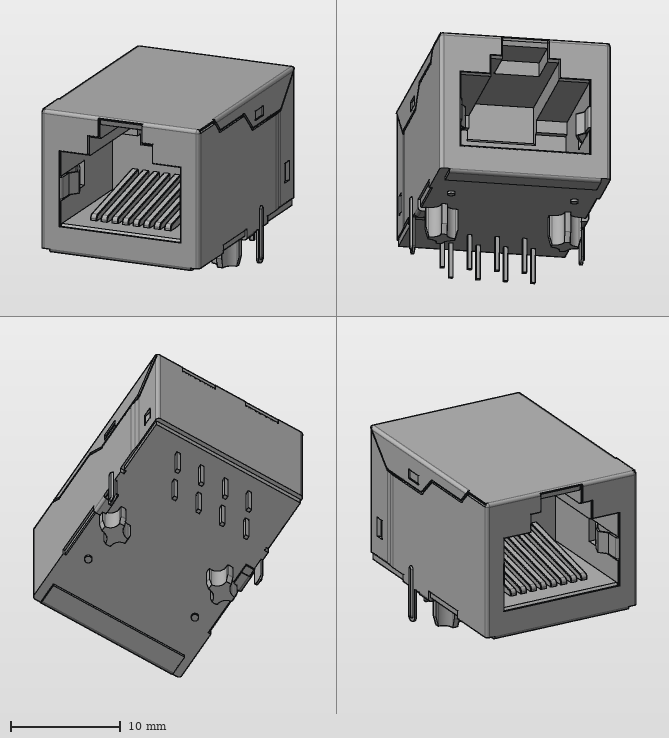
import cadquery as cq


LENGTH = 21.6
WIDTH = 15.85
HEIGHT = 13.25
SHEET = 0.2
BEND = 0.32
HALF_WIDTH = WIDTH / 2
FRONT = -LENGTH / 2
REAR = LENGTH / 2
INNER_FRONT = FRONT + SHEET

GAP_REAR = -7.13
GAP_BOTTOM = HEIGHT - BEND
TOP_PLATE = 0.15
GAP_TOP = HEIGHT - TOP_PLATE
TOP_PLATE_WIDTH = 15.68

SEAM = 0.24
SEAM_LOW = 9.98
SEAM_HIGH = 11.88
SEAM_STEP_LOW = 1.17
SEAM_STEP_HIGH = -0.73
SEAM_HIGH_END = -6.13
SEAM_SPLIT = 4.85
SEAM_SHALLOW = 0.15

INSET = 0.09
JOG_FRONT = 6.35
JOG_REAR = 7.55
FLAP_BOTTOM = 0.7

LATCH_WINDOW_Y = (1.75, 3.55)
LATCH_WINDOW_Z = (10.6, 11.51)
SIDE_EDGE_Y = (-5.42, -0.13)
SIDE_EDGE_TOP = 0.78
EDGE_BEVEL = 0.1
EDGE_NOTCH_FRONT = 4.51
DIMPLE_Y = (8.55, 9.2, 9.61)
DIMPLE_STEP_DEPTH = 0.2
DIMPLE_DEPTH = 0.35
DIMPLE_Z = (2.68, 4.54)
REAR_NOTCH_X = (1.62, 5.15)
REAR_NOTCH_BOTTOM = 12.31
REAR_NOTCH_DEPTH = 0.1
REAR_SETBACK = 0.39

CAVITY_FLOOR = 2.48
CAVITY_STEPS = ((5.98, 9.35), (3.15, 11.1), (2.1, 12.45))
SHEET_MARGIN = 0.1
SHEET_FLOOR_MARGIN = 0.22
SHEET_STEP_TOPS = (9.53, 11.35, 13.11)
LEAD_IN = 0.22
BACK_WALL = 0.86
SHOULDER_BOTTOM = 8.16
SHOULDER_WALL = 0.22
LATCH_WALL = 1.73
LATCH_LEDGE = 7.13
LATCH_LEDGE_RISE = 0.48
CHANNEL_WALL = -6.48

CONTACT_COUNT = 8
CONTACT_PITCH = 1.05
CONTACT_WIDTH = 0.65
CONTACT_HEIGHT = 0.55
CONTACT_BEVEL = 0.06
CONTACT_NOSE_ROUND = 0.39
CONTACT_FRONT = -8.42
CONTACT_NOSE_TOP = 2.98
CONTACT_REAR_TOP = 4.8

SPRING_BOTTOM = 4.9
SPRING_TOP = 6.98
SPRING_WINDOW_DEPTH = 0.78
SPRING_WINDOW_REAR = -5.34
SPRING_WINDOW_BOTTOM = 4.69
SPRING_WINDOW_TOP = 7.06

PIN_COUNT = 8
PIN_PITCH = 1.27
PIN_SIZE = 0.37
PIN_LENGTH = 3.28
PIN_ROWS = (6.29, 8.81)
LEG_Y = 3.0
LEG_WIDTH = 1.17
LEG_LENGTH = 3.37
RIB_WIDTH = 0.6
RIB_TOP = 2.14
RIB_BOTTOM = -3.05
RIB_HEIGHT = 0.17
RIB_TAPER = 40
PEG_X = 5.72
PEG_RADIUS = 1.51
PEG_TIP_RADIUS = 1.25
PEG_LENGTH = 2.87
PEG_TAPER_START = 1.92
PEG_ARM = 0.55
TAB_DROP = 0.32
FRONT_TAB_WIDTH = 14.08
FRONT_TAB_LENGTH = 2.25
TAB_ROUND = 0.3
SIDE_TAB_Y = (-0.13, 1.62)
SIDE_TAB_LENGTH = 1.08
STANDOFF_DROP = 0.24
STANDOFF_RADIUS = 0.35
STANDOFF_Y = -4.65
REAR_STANDOFF_END = 2.42
OVERLAP = 0.22


def block(x0, x1, y0, y1, z0, z1):
    """Box between two opposite corners."""
    return cq.Workplane("XY").box(x1 - x0, y1 - y0, z1 - z0, centered=False).translate((x0, y0, z0))


def both_sides(shape):
    """The +X shape together with its mirror image."""
    return shape.union(shape.mirror("YZ"))


def side_prism(points, x0, x1):
    """Outline of (y, z) points extruded along X."""
    return cq.Workplane("YZ").polyline(points).close().extrude(x1 - x0).translate((x0, 0, 0))


def housing():
    body = block(-HALF_WIDTH, HALF_WIDTH, FRONT, REAR, 0, HEIGHT)
    body = body.edges("|Z or >Z").fillet(BEND)
    half_plate = TOP_PLATE_WIDTH / 2
    gap_front = FRONT + BEND
    plate = block(-half_plate, half_plate, gap_front, GAP_REAR, GAP_TOP, HEIGHT)
    gap = block(-HALF_WIDTH, HALF_WIDTH, gap_front, GAP_REAR, GAP_BOTTOM, GAP_TOP)
    return body.union(plate).cut(gap)


def side_seam():
    """Groove along the edge of the top flap, following its stepped outline."""
    top = HEIGHT - BEND
    seam_path = [
        (REAR - BEND, top), (JOG_REAR, SEAM_LOW), (SEAM_STEP_LOW, SEAM_LOW),
        (SEAM_STEP_HIGH, SEAM_HIGH), (SEAM_HIGH_END, SEAM_HIGH), (GAP_REAR, top)]
    path = cq.Workplane("YZ").polyline(seam_path).offset2D(SEAM / 2)
    groove = path.extrude(SHEET).translate((HALF_WIDTH - SHEET, 0, 0))
    ridge = block(0, HALF_WIDTH - SEAM_SHALLOW, SEAM_SPLIT, REAR, 0, HEIGHT)
    return both_sides(groove.cut(ridge))


def rear_flap_inset():
    """Sets the rear flap in, with a smooth jog down from the main side wall."""
    outer = HALF_WIDTH
    inner = HALF_WIDTH - INSET
    flap_front = [(JOG_REAR, FLAP_BOTTOM), (JOG_REAR, SEAM_LOW)]
    flap_rear = [(REAR, SEAM_LOW + REAR - JOG_REAR), (REAR, FLAP_BOTTOM)]
    kept = block(-inner, inner, FRONT, REAR, 0, HEIGHT).edges("|Z").fillet(BEND)
    flap = side_prism(flap_front + flap_rear, inner - BEND, outer).cut(kept)
    jog_middle = (outer - INSET / 2, (JOG_FRONT + JOG_REAR) / 2)
    jog_radius = ((JOG_REAR - JOG_FRONT) ** 2 + INSET ** 2) / (4 * INSET)
    jog = (
        cq.Workplane("XY").moveTo(outer, JOG_FRONT)
        .radiusArc(jog_middle, -jog_radius).radiusArc((inner, JOG_REAR), jog_radius)
        .lineTo(outer, JOG_REAR).close()
        .extrude(SEAM_LOW - FLAP_BOTTOM).translate((0, 0, FLAP_BOTTOM)))
    return both_sides(flap.union(jog))


def side_recesses():
    """Shallow openings in the shield along the side walls and at the rear."""
    outer = HALF_WIDTH
    floor = outer - SHEET
    cuts = block(outer - SEAM_SHALLOW, outer, *LATCH_WINDOW_Y, *LATCH_WINDOW_Z)

    edge_start, edge_end = SIDE_EDGE_Y
    edge_outline = [
        (floor - EDGE_BEVEL, 0), (floor, EDGE_BEVEL), (floor, SIDE_EDGE_TOP),
        (outer, SIDE_EDGE_TOP), (outer, 0)]
    side_edge = cq.Workplane("XZ").polyline(edge_outline).close().extrude(edge_end - edge_start)
    cuts = cuts.union(side_edge.translate((0, edge_end, 0)))

    cuts = cuts.union(block(floor, outer, SEAM_SPLIT, REAR, 0, FLAP_BOTTOM))
    cuts = cuts.union(block(floor - SHEET, outer, EDGE_NOTCH_FRONT, SEAM_SPLIT, 0, FLAP_BOTTOM))

    step_y, deep_y, rear_y = DIMPLE_Y
    bottom, top = DIMPLE_Z
    dimple_outline = [
        (outer, rear_y), (outer - DIMPLE_DEPTH, deep_y), (outer - DIMPLE_STEP_DEPTH, step_y), (outer, step_y)]
    dimple = cq.Workplane("XY").polyline(dimple_outline).close().extrude(top - bottom)
    cuts = cuts.union(dimple.translate((0, 0, bottom)))

    cuts = cuts.union(block(*REAR_NOTCH_X, REAR - REAR_NOTCH_DEPTH, REAR, REAR_NOTCH_BOTTOM, HEIGHT))
    return both_sides(cuts).union(block(-outer, outer, REAR - REAR_SETBACK, REAR, 0, FLAP_BOTTOM))


def plug_opening():
    """Stepped opening in the shield, then the plug cavity with lead-in slopes."""
    (main_half, main_top), (latch_half, latch_top), (channel_half, channel_top) = CAVITY_STEPS
    cavity = block(-main_half, main_half, INNER_FRONT, BACK_WALL, CAVITY_FLOOR, SHOULDER_BOTTOM)
    cavity = cavity.union(
        block(-main_half, main_half, INNER_FRONT, SHOULDER_WALL, SHOULDER_BOTTOM, main_top))
    ledge_top = LATCH_LEDGE + LATCH_LEDGE_RISE
    cavity = cavity.union(side_prism(
        [(INNER_FRONT, LATCH_LEDGE), (BACK_WALL, LATCH_LEDGE), (LATCH_WALL, ledge_top),
         (LATCH_WALL, latch_top), (INNER_FRONT, latch_top)], -latch_half, latch_half))
    cavity = cavity.union(
        block(-channel_half, channel_half, INNER_FRONT, CHANNEL_WALL, latch_top, channel_top))

    bottom = CAVITY_FLOOR - SHEET_FLOOR_MARGIN
    for (half, top), sheet_top in zip(CAVITY_STEPS, SHEET_STEP_TOPS):
        sheet_half = half + SHEET_MARGIN
        cavity = cavity.union(block(-sheet_half, sheet_half, FRONT, INNER_FRONT, bottom, sheet_top))
        ceiling_slope = side_prism(
            [(INNER_FRONT, top), (INNER_FRONT, sheet_top), (INNER_FRONT + LEAD_IN, top)], -half, half)
        cavity = cavity.union(ceiling_slope)
    floor_slope = side_prism(
        [(INNER_FRONT, CAVITY_FLOOR), (INNER_FRONT, bottom), (INNER_FRONT + LEAD_IN, CAVITY_FLOOR)],
        -main_half, main_half)
    spring_window = block(
        main_half, main_half + SPRING_WINDOW_DEPTH, INNER_FRONT, SPRING_WINDOW_REAR,
        SPRING_WINDOW_BOTTOM, SPRING_WINDOW_TOP)
    return cavity.union(floor_slope).union(both_sides(spring_window))


def contact():
    """One sloping contact wire, from the cavity floor up to the back wall."""
    rear = BACK_WALL + OVERLAP
    rear_bottom = CONTACT_REAR_TOP - CONTACT_HEIGHT
    root = CAVITY_FLOOR - OVERLAP
    wire = side_prism(
        [(CONTACT_FRONT, root), (CONTACT_FRONT, CONTACT_NOSE_TOP), (rear, CONTACT_REAR_TOP),
         (rear, rear_bottom), (CONTACT_FRONT + CONTACT_HEIGHT, root)],
        -CONTACT_WIDTH / 2, CONTACT_WIDTH / 2)
    top_middle = (0, (CONTACT_FRONT + rear) / 2, (CONTACT_NOSE_TOP + CONTACT_REAR_TOP) / 2)
    nose = cq.NearestToPointSelector((0, CONTACT_FRONT, CONTACT_NOSE_TOP))
    wire = wire.edges(nose).fillet(CONTACT_NOSE_ROUND)
    return wire.faces(cq.NearestToPointSelector(top_middle)).edges("not |X").chamfer(CONTACT_BEVEL)


def contacts():
    wire = contact()
    row = cq.Workplane("XY")
    for i in range(CONTACT_COUNT):
        row = row.add(wire.translate(((i - (CONTACT_COUNT - 1) / 2) * CONTACT_PITCH, 0, 0)))
    return row.combine()


def springs():
    """Grounding springs folded in from the front edge of the opening."""
    root_x = CAVITY_STEPS[0][0] + SHEET_MARGIN
    root_y = FRONT + SHEET / 3
    bend_middle = (5.95, -10.65)
    bend_end = (5.85, -10.45)
    ramp_x, ramp_y = 5.8, -9.22
    crest_x, crest_y = 5.15, -8.42
    tail_x, tail_y = 5.62, -7.2
    tip_x, tip_y = 6.35, -6.0
    spring = (
        cq.Workplane("XY").moveTo(root_x, root_y)
        .threePointArc(bend_middle, bend_end)
        .lineTo(ramp_x, ramp_y).lineTo(crest_x, crest_y)
        .threePointArc((tail_x, tail_y), (tip_x, tip_y))
        .lineTo(tip_x + SHEET, tip_y)
        .threePointArc((tail_x + SHEET, tail_y), (crest_x + SHEET, crest_y))
        .lineTo(ramp_x + SHEET, ramp_y).lineTo(root_x + SHEET, root_y).close()
        .extrude(SPRING_TOP - SPRING_BOTTOM).translate((0, 0, SPRING_BOTTOM)))
    return both_sides(spring)


def pins():
    """Solder pins, alternating between two rows."""
    half = PIN_SIZE / 2
    group = cq.Workplane("XY")
    for i in range(PIN_COUNT):
        x = (i - (PIN_COUNT - 1) / 2) * PIN_PITCH
        y = PIN_ROWS[i % 2]
        group = group.add(block(x - half, x + half, y - half, y + half, -PIN_LENGTH, OVERLAP))
    return group.combine()


def shield_legs():
    """Round-ended shield legs, each stiffened by an embossed rib."""
    round_center = LEG_WIDTH / 2 - LEG_LENGTH
    leg = block(
        HALF_WIDTH - SHEET, HALF_WIDTH, LEG_Y - LEG_WIDTH / 2, LEG_Y + LEG_WIDTH / 2, round_center, OVERLAP)
    tip = (
        cq.Workplane("YZ").center(LEG_Y, round_center).circle(LEG_WIDTH / 2)
        .extrude(SHEET).translate((HALF_WIDTH - SHEET, 0, 0)))
    rib = (
        cq.Workplane("YZ").center(LEG_Y, (RIB_TOP + RIB_BOTTOM) / 2)
        .slot2D(RIB_TOP - RIB_BOTTOM, RIB_WIDTH, 90)
        .extrude(RIB_HEIGHT, taper=RIB_TAPER).translate((HALF_WIDTH, 0, 0)))
    return both_sides(leg.union(tip).union(rib))


def board_pegs():
    """Tapered pegs with a cross section of four arms joined by concave quarter rounds."""
    envelope = (
        cq.Workplane("XZ")
        .polyline([(0, OVERLAP), (PEG_RADIUS, OVERLAP), (PEG_RADIUS, -PEG_TAPER_START),
                   (PEG_TIP_RADIUS, -PEG_LENGTH), (0, -PEG_LENGTH)]).close()
        .revolve(360, (0, 0, 0), (0, 1, 0)))
    flute_radius = PEG_TIP_RADIUS - PEG_ARM / 2
    flute_reach = PEG_TIP_RADIUS + PEG_RADIUS
    flute = (
        cq.Workplane("XY").moveTo(PEG_ARM / 2, PEG_TIP_RADIUS)
        .radiusArc((PEG_TIP_RADIUS, PEG_ARM / 2), -flute_radius)
        .lineTo(flute_reach, PEG_ARM / 2).lineTo(flute_reach, flute_reach)
        .lineTo(PEG_ARM / 2, flute_reach).close()
        .extrude(-PEG_LENGTH))
    for quarter in range(4):
        envelope = envelope.cut(flute.rotate((0, 0, 0), (0, 0, 1), 90 * quarter))
    return both_sides(envelope.translate((PEG_X, 0, 0)))


def underside_tabs():
    """Shield tabs bent under the housing, and the stand-offs of the insulator."""
    half_tab = FRONT_TAB_WIDTH / 2
    front_tab = block(-half_tab, half_tab, FRONT, FRONT + FRONT_TAB_LENGTH, -TAB_DROP, 0)
    front_tab = front_tab.edges("<Y and <Z").fillet(TAB_ROUND)
    side_tab = block(HALF_WIDTH - SIDE_TAB_LENGTH, HALF_WIDTH, *SIDE_TAB_Y, -TAB_DROP, 0)
    side_tab = side_tab.edges(">X and <Z").fillet(TAB_ROUND)
    rear_standoff = block(
        HALF_WIDTH - SIDE_TAB_LENGTH, HALF_WIDTH - SHEET, SIDE_TAB_Y[1], REAR_STANDOFF_END, -STANDOFF_DROP, 0)
    front_standoff = (
        cq.Workplane("XY").center(PEG_X, STANDOFF_Y).circle(STANDOFF_RADIUS).extrude(-STANDOFF_DROP))
    return front_tab.union(both_sides(side_tab.union(rear_standoff).union(front_standoff)))


result = housing()
for removed in (side_seam(), rear_flap_inset(), side_recesses(), plug_opening()):
    result = result.cut(removed)
for added in (contacts(), springs(), pins(), shield_legs(), board_pegs(), underside_tabs()):
    result = result.union(added)